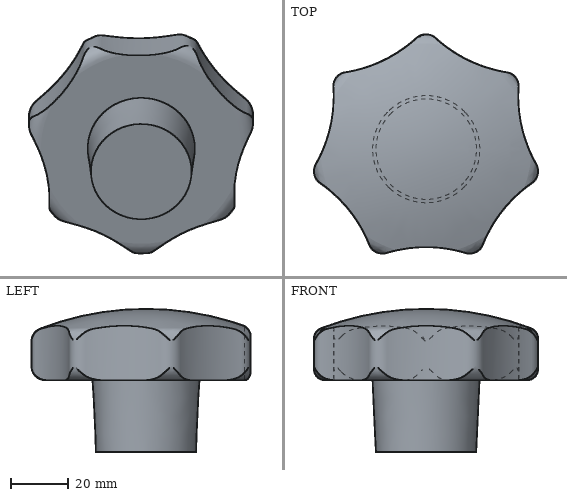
import cadquery as cq
import math

lobe_count = 7
tip_radius = 40.0
valley_radius = 34.3
lobe_round = 5.0
total_height = 50.0
hub_height = 25.0
hub_bottom_radius = 17.5
hub_top_radius = 18.7
dome_radius = 102.0
rim_round = 5.0

half_pitch = math.pi / lobe_count
lobe_centre_radius = tip_radius - lobe_round
across = lobe_centre_radius * math.sin(half_pitch)
inset = valley_radius - lobe_centre_radius * math.cos(half_pitch)
scallop_radius = (across**2 + inset**2 - lobe_round**2) / (2 * (lobe_round - inset))
lobe_sweep = half_pitch + math.asin(across / (scallop_radius + lobe_round))


def polar(radius, angle):
    return (radius * math.cos(angle), radius * math.sin(angle))


def lobe_tangent_point(lobe_angle, side):
    """Point where a lobe arc meets the scallop on its given side (-1 or +1)."""
    centre_x, centre_y = polar(lobe_centre_radius, lobe_angle)
    offset_x, offset_y = polar(lobe_round, lobe_angle + side * lobe_sweep)
    return (centre_x + offset_x, centre_y + offset_y)


def make_star_prism():
    """Lobed outline, extruded through the full height of the head."""
    outline = cq.Workplane("XY").workplane(offset=hub_height)
    outline = outline.moveTo(*lobe_tangent_point(math.pi / 2, -1))
    for index in range(lobe_count):
        lobe_angle = math.pi / 2 + 2 * half_pitch * index
        next_lobe_angle = lobe_angle + 2 * half_pitch
        outline = outline.threePointArc(
            polar(tip_radius, lobe_angle), lobe_tangent_point(lobe_angle, 1)
        )
        outline = outline.threePointArc(
            polar(valley_radius, lobe_angle + half_pitch),
            lobe_tangent_point(next_lobe_angle, -1),
        )
    return outline.close().extrude(total_height - hub_height)


def make_domed_disc():
    """Round disc with a spherical top and rounded rim."""
    dome_centre_z = total_height - dome_radius
    edge_z = dome_centre_z + math.sqrt(dome_radius**2 - tip_radius**2)
    middle_angle = math.asin(tip_radius / dome_radius) / 2
    dome_middle = (
        dome_radius * math.sin(middle_angle),
        dome_centre_z + dome_radius * math.cos(middle_angle),
    )
    disc = (
        cq.Workplane("XZ")
        .moveTo(0, hub_height)
        .lineTo(tip_radius, hub_height)
        .lineTo(tip_radius, edge_z)
        .threePointArc(dome_middle, (0, total_height))
        .close()
        .revolve(360, (0, 0, 0), (0, 1, 0))
    )
    return disc.faces("%CYLINDER").edges("%CIRCLE").fillet(rim_round)


def make_hub():
    """Tapered hub, wider where it joins the head."""
    return (
        cq.Workplane("XZ")
        .lineTo(hub_bottom_radius, 0)
        .lineTo(hub_top_radius, hub_height)
        .lineTo(0, hub_height)
        .close()
        .revolve(360, (0, 0, 0), (0, 1, 0))
    )


head = make_domed_disc().intersect(make_star_prism())
result = head.union(make_hub())